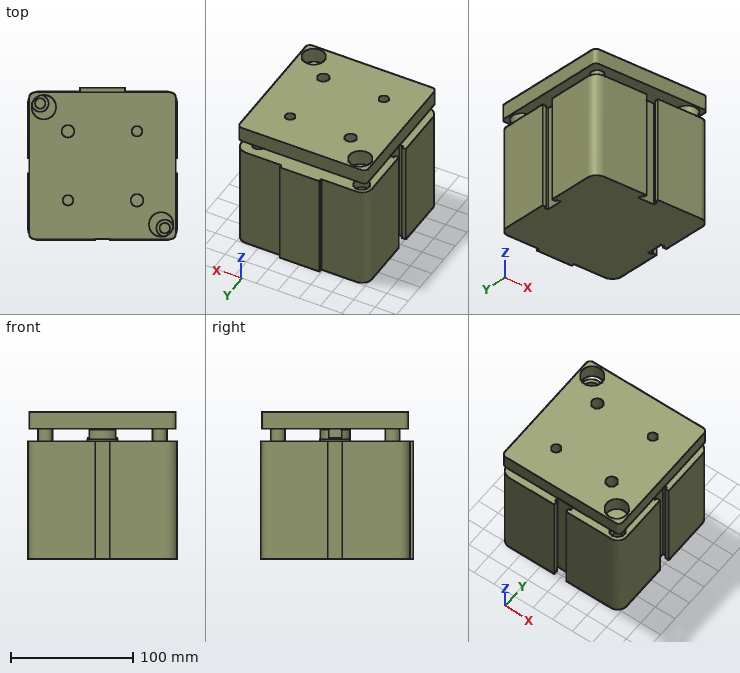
import cadquery as cq

body_height = 96.5
gap_height = 10.0
plate_thickness = 14.0
plate_bottom = body_height + gap_height

body_width = 122.0
body_corner_radius = 9.2
half_body = body_width / 2

slot_opening = 12.0
slot_inner_width = 16.0
slot_lip = 3.8
slot_depth = 7.5
slotted_side_angles = (0, 90, -90)

rail_width = 37.0
rail_height = 3.0
rail_foot_flare = 0.5

screw_offset = 51.0
screw_head_diameter = 13.8
screw_head_depth = 8.5
screw_diameter = 8.5
screw_hole_depth = 20.0

plate_width = 120.0
plate_corner_radius = 4.0
access_hole_diameter = 20.0
access_hole_offset = 48.0
fixing_hole_offset = 28.2
pin_hole_diameter = 10.2
thread_hole_diameter = 8.5

guide_rod_diameter = 12.0
guide_rod_offset = 46.9
piston_base_diameter = 25.0
piston_base_height = 1.4
piston_diameter = 24.5
piston_chamfer = 0.5
piston_flat_width = 22.0
piston_flat_start = 2.9


def on_screw_diagonal(offset):
    """Two opposite points, at (-X, +Y) and (+X, -Y)."""
    return [(-offset, offset), (offset, -offset)]


def on_rod_diagonal(offset):
    """Two opposite points, at (-X, -Y) and (+X, +Y)."""
    return [(-offset, -offset), (offset, offset)]


def t_slot():
    """Cutter for the slot on the -Y side: a narrow opening and a wider inner channel."""
    opening = cq.Workplane("XY").box(slot_opening, slot_depth, body_height, centered=(True, False, False))
    channel = (
        cq.Workplane("XY")
        .box(slot_inner_width, slot_depth - slot_lip, body_height, centered=(True, False, False))
        .translate((0, slot_lip, 0))
    )
    return opening.union(channel).translate((0, -half_body, 0))


def rail():
    """Flat rail on the +Y side, flared at its foot."""
    half_rail = rail_width / 2
    half_foot = half_rail + rail_foot_flare
    rail_top = half_body + rail_height
    flare_top = half_body + rail_foot_flare
    inside = half_body - rail_height
    outline = [
        (-half_foot, inside),
        (-half_foot, half_body),
        (-half_rail, flare_top),
        (-half_rail, rail_top),
        (half_rail, rail_top),
        (half_rail, flare_top),
        (half_foot, half_body),
        (half_foot, inside),
    ]
    return cq.Workplane("XY").polyline(outline).close().extrude(body_height)


def make_housing():
    block = (
        cq.Workplane("XY")
        .box(body_width, body_width, body_height, centered=(True, True, False))
        .edges("|Z")
        .fillet(body_corner_radius)
        .union(rail())
    )
    for angle in slotted_side_angles:
        block = block.cut(t_slot().rotate((0, 0, 0), (0, 0, 1), angle))
    return (
        block.faces(">Z")
        .workplane(origin=(0, 0, body_height))
        .pushPoints(on_screw_diagonal(screw_offset))
        .cboreHole(screw_diameter, screw_head_diameter, screw_head_depth, screw_hole_depth)
    )


def make_plate():
    plate = (
        cq.Workplane("XY", origin=(0, 0, plate_bottom))
        .box(plate_width, plate_width, plate_thickness, centered=(True, True, False))
        .edges("|Z")
        .fillet(plate_corner_radius)
    )
    hole_pairs = [
        (access_hole_diameter, on_screw_diagonal(access_hole_offset)),
        (pin_hole_diameter, on_screw_diagonal(fixing_hole_offset)),
        (thread_hole_diameter, on_rod_diagonal(fixing_hole_offset)),
    ]
    for diameter, points in hole_pairs:
        holes = (
            cq.Workplane("XY", origin=(0, 0, plate_bottom))
            .pushPoints(points)
            .circle(diameter / 2)
            .extrude(plate_thickness)
        )
        plate = plate.cut(holes)
    return plate


def make_piston_rod():
    """Stepped rod with two wrench flats, facing -X and +X."""
    upper = (
        cq.Workplane("XY")
        .circle(piston_diameter / 2)
        .extrude(gap_height)
        .faces(">Z")
        .chamfer(piston_chamfer)
    )
    flatted = cq.Workplane("XY").box(
        piston_flat_width, piston_base_diameter, gap_height, centered=(True, True, False)
    )
    round_foot = cq.Workplane("XY").circle(piston_base_diameter / 2).extrude(piston_flat_start)
    base = cq.Workplane("XY").circle(piston_base_diameter / 2).extrude(piston_base_height)
    rod = upper.intersect(flatted.union(round_foot)).union(base)
    return rod.translate((0, 0, body_height))


def make_carriage():
    """Plate with its guide rods and piston rod, standing on the housing top."""
    guide_rods = (
        cq.Workplane("XY", origin=(0, 0, body_height))
        .pushPoints(on_rod_diagonal(guide_rod_offset))
        .circle(guide_rod_diameter / 2)
        .extrude(gap_height)
    )
    return make_plate().union(guide_rods).union(make_piston_rod())


housing = make_housing()
carriage = make_carriage()

result = cq.Compound.makeCompound([housing.val(), carriage.val()])